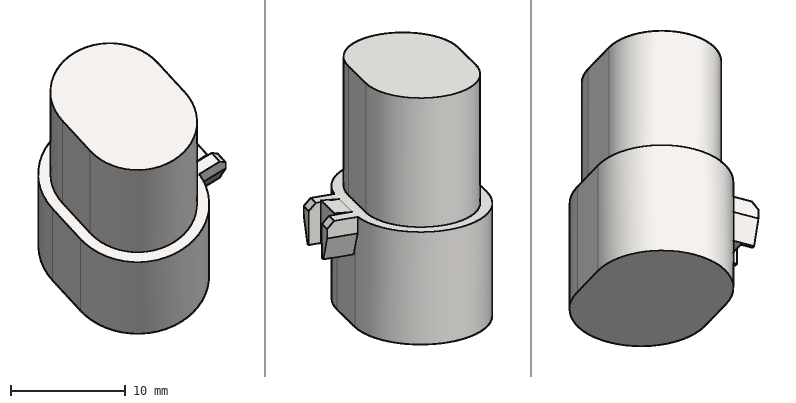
import cadquery as cq

total_height = 23.1
total_depth = 15.4
base_width = 16.57

base_depth = 12.53
base_height = 10.77
step_width = 1.06
upper_width = base_width - 2 * step_width
upper_depth = base_depth - 2 * step_width
upper_height = total_height - base_height

arm_outer_x = 2.68
arm_inner_x = 1.5
arm_height = 3.93
arm_straight_height = 1.57
arm_taper = 0.85
arm_chamfer = 0.67

latch_setback = 1.15
latch_rise = 0.16

wall_y = base_depth / 2
arm_tip_y = total_depth - wall_y
arm_bottom_z = base_height - arm_height
root_overlap = 0.46
root_y = wall_y - root_overlap


def oval_prism(width, depth, height, bottom_z):
    """Upright prism with an oval outline centred on the Z axis."""
    return cq.Workplane("XY").workplane(offset=bottom_z).slot2D(width, depth).extrude(height)


def latch_arm(side):
    """One arm; side is -1 or +1. Its outer flank leans inward below the straight part."""
    flank_break_z = base_height - arm_straight_height
    arm = (
        cq.Workplane("XZ", origin=(0, root_y, 0))
        .moveTo(side * arm_inner_x, base_height)
        .lineTo(side * arm_outer_x, base_height)
        .lineTo(side * arm_outer_x, flank_break_z)
        .lineTo(side * (arm_outer_x - arm_taper), arm_bottom_z)
        .lineTo(side * arm_inner_x, arm_bottom_z)
        .close()
        .extrude(root_y - arm_tip_y)
    )
    return arm.faces(">Y").edges(">Z").chamfer(arm_chamfer)


def latch_block():
    """Block bridging the arms; its top climbs from the wall to the outer face."""
    latch_y = arm_tip_y - latch_setback
    return (
        cq.Workplane("YZ")
        .moveTo(root_y, arm_bottom_z)
        .lineTo(latch_y, arm_bottom_z)
        .lineTo(latch_y, base_height + latch_rise)
        .lineTo(wall_y, base_height)
        .lineTo(root_y, base_height)
        .close()
        .extrude(arm_inner_x, both=True)
    )


base = oval_prism(base_width, base_depth, base_height, 0)
upper = oval_prism(upper_width, upper_depth, upper_height, base_height)
result = base.union(upper).union(latch_block())
for arm_side in (-1, 1):
    result = result.union(latch_arm(arm_side))